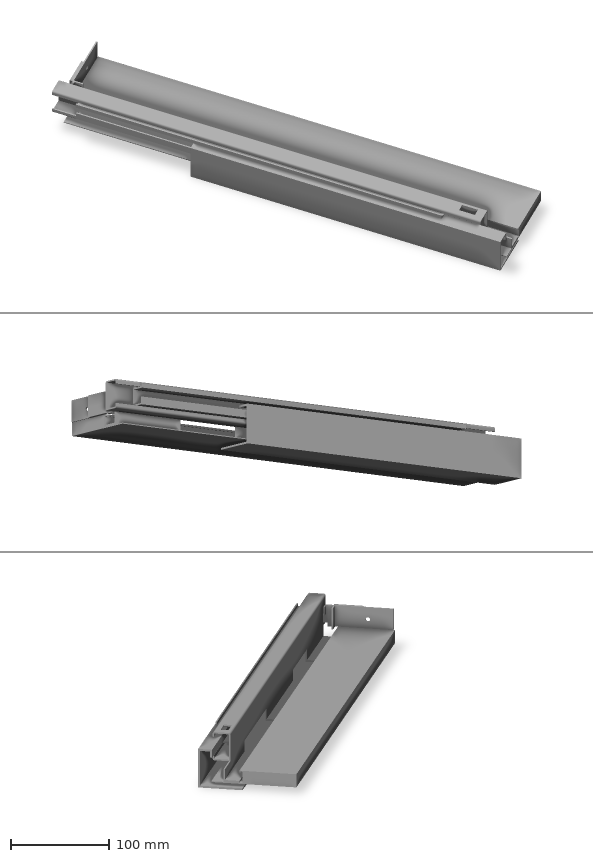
import cadquery as cq

LENGTH = 501.5
WIDTH = 102.5
HEIGHT = 51.5

SHEET = 1.5
RAIL_LENGTH = 474.5
RAIL_FRONT = 9.5
RAIL_BACK = 28.0
RAIL_BOTTOM = 21.5
RAIL_LIP = 5.0
RAIL_CORNER_RADIUS = 2.0
SLOT_X = 448.0
SLOT_Y = 16.0
SLOT_LENGTH = 17.5
SLOT_WIDTH = 8.0

MIDDLE_START = 28.5
MIDDLE_END = 434.0
MIDDLE_BACK = 20.5
MIDDLE_BOTTOM = 27.5
MIDDLE_TOP = 46.0
UPPER_LIP_FRONT = 4.0
UPPER_LIP_TOP = 49.0
LOWER_LIP_FRONT = 5.0
LOWER_LIP_TOP = 35.5
RIDGE_RADIUS = 1.75
RIDGE_Y = 17.5
RIDGE_INSET = 1.0

BRACKET_START = 157.5
BRACKET_END = 500.5
BRACKET_SHEET = 2.0
BRACKET_HEIGHT = 41.0
BRACKET_FOOT_WIDTH = 46.0
BRACKET_TOP_WIDTH = 14.5
BRACKET_HOOK_BOTTOM = 32.5

TRAY_START = 11.0
TRAY_BOTTOM = 7.0
PLATE_THICKNESS = 1.0
PLATE_FRONT = 14.0
FOOT_TOP = 10.0
FOOT_BACK = 43.0
WINDOWS = [(93.0, 162.0), (293.5, 403.5)]

BOARD_FRONT = 46.0
COVER_TOP = 21.0
COVER_THICKNESS = 1.0
COVER_LIP_BOTTOM = 19.0

END_PLATE_THICKNESS = 1.5
END_PLATE_RIGHT = 40.0
END_PLATE_LEFT = 101.0
END_PLATE_TOP = 43.5
SCREW_HOLE_Y = 74.0
SCREW_HOLE_Z = 30.5
SCREW_HOLE_DIAMETER = 4.5

CLIP_START = 7.0
CLIP_PLATE_LEFT = 68.5
CLIP_PLATE_RIGHT = 38.5
CLIP_UPPER_RIGHT = 29.5
CLIP_LOWER_RIGHT = 32.5
CLIP_WING_START = 10.0
CLIP_WING_END = 12.5
CLIP_TAB_START = 8.0
CLIP_TAB_BOTTOM = 25.0
CLIP_TAB_TOP = 34.5
LEFT_FLANGE_END = 21.5
RIGHT_FLANGE_END = 19.0
RIGHT_FLANGE_THICKNESS = 1.5

PLATE_TOP = TRAY_BOTTOM + PLATE_THICKNESS
COVER_BOTTOM = COVER_TOP - COVER_THICKNESS
END_PLATE_START = TRAY_START - END_PLATE_THICKNESS


def box(x0, x1, y0, y1, z0, z1):
    """Block between two opposite corners."""
    return cq.Workplane("XY").box(x1 - x0, y1 - y0, z1 - z0, centered=False).translate((x0, y0, z0))


def extrude_along_x(outline, x0, x1):
    """Extrude a (Y, Z) outline from x0 to x1."""
    return cq.Workplane("YZ", origin=(x0, 0, 0)).polyline(outline).close().extrude(x1 - x0)


def make_outer_rail():
    inner_front = RAIL_FRONT + SHEET
    lower_lip_end = RAIL_BOTTOM + RAIL_LIP
    upper_lip_end = HEIGHT - RAIL_LIP
    rail = box(0, RAIL_LENGTH, RAIL_FRONT, RAIL_BACK, RAIL_BOTTOM, HEIGHT)
    rail = rail.edges("|X and (<Y or >Z)").fillet(RAIL_CORNER_RADIUS)
    cavity = box(0, RAIL_LENGTH, inner_front, RAIL_BACK - SHEET, RAIL_BOTTOM + SHEET, HEIGHT - SHEET)
    mouth = box(0, RAIL_LENGTH, RAIL_FRONT, inner_front, lower_lip_end, upper_lip_end)
    slot = box(SLOT_X, SLOT_X + SLOT_LENGTH, SLOT_Y, SLOT_Y + SLOT_WIDTH, HEIGHT - SHEET, HEIGHT)
    return rail.cut(cavity).cut(mouth).cut(slot)


def make_middle_rail():
    outline = [
        (MIDDLE_BACK, MIDDLE_BOTTOM),
        (LOWER_LIP_FRONT, MIDDLE_BOTTOM),
        (LOWER_LIP_FRONT, LOWER_LIP_TOP),
        (LOWER_LIP_FRONT + SHEET, LOWER_LIP_TOP),
        (LOWER_LIP_FRONT + SHEET, MIDDLE_BOTTOM + SHEET),
        (MIDDLE_BACK - SHEET, MIDDLE_BOTTOM + SHEET),
        (MIDDLE_BACK - SHEET, MIDDLE_TOP - SHEET),
        (UPPER_LIP_FRONT, MIDDLE_TOP - SHEET),
        (UPPER_LIP_FRONT, UPPER_LIP_TOP),
        (UPPER_LIP_FRONT + SHEET, UPPER_LIP_TOP),
        (UPPER_LIP_FRONT + SHEET, MIDDLE_TOP),
        (MIDDLE_BACK, MIDDLE_TOP),
    ]
    rail = extrude_along_x(outline, MIDDLE_START, MIDDLE_END)
    for ridge_z in (MIDDLE_BOTTOM - RIDGE_INSET, MIDDLE_TOP + RIDGE_INSET):
        ridge = (
            cq.Workplane("YZ", origin=(MIDDLE_START, RIDGE_Y, ridge_z))
            .circle(RIDGE_RADIUS)
            .extrude(MIDDLE_END - MIDDLE_START)
        )
        rail = rail.union(ridge)
    return rail


def make_bracket():
    outline = [
        (0, 0),
        (BRACKET_FOOT_WIDTH, 0),
        (BRACKET_FOOT_WIDTH, BRACKET_SHEET),
        (BRACKET_SHEET, BRACKET_SHEET),
        (BRACKET_SHEET, BRACKET_HEIGHT - BRACKET_SHEET),
        (BRACKET_TOP_WIDTH - BRACKET_SHEET, BRACKET_HEIGHT - BRACKET_SHEET),
        (BRACKET_TOP_WIDTH - BRACKET_SHEET, BRACKET_HOOK_BOTTOM),
        (BRACKET_TOP_WIDTH, BRACKET_HOOK_BOTTOM),
        (BRACKET_TOP_WIDTH, BRACKET_HEIGHT),
        (0, BRACKET_HEIGHT),
    ]
    return extrude_along_x(outline, BRACKET_START, BRACKET_END)


def make_tray():
    web_front = RAIL_BACK - SHEET
    outline = [
        (PLATE_FRONT, TRAY_BOTTOM),
        (WIDTH, TRAY_BOTTOM),
        (WIDTH, PLATE_TOP),
        (FOOT_BACK, PLATE_TOP),
        (FOOT_BACK, FOOT_TOP),
        (RAIL_BACK, FOOT_TOP),
        (RAIL_BACK, RAIL_BOTTOM),
        (web_front, RAIL_BOTTOM),
        (web_front, PLATE_TOP),
        (PLATE_FRONT, PLATE_TOP),
    ]
    tray = extrude_along_x(outline, TRAY_START, LENGTH)
    for window_start, window_end in WINDOWS:
        tray = tray.cut(box(window_start, window_end, web_front, FOOT_BACK, PLATE_TOP, RAIL_BOTTOM))
    return tray


def make_board():
    return box(TRAY_START, LENGTH, BOARD_FRONT, WIDTH, PLATE_TOP, COVER_BOTTOM)


def make_cover():
    outline = [
        (FOOT_BACK, COVER_LIP_BOTTOM),
        (FOOT_BACK + COVER_THICKNESS, COVER_LIP_BOTTOM),
        (FOOT_BACK + COVER_THICKNESS, COVER_BOTTOM),
        (WIDTH, COVER_BOTTOM),
        (WIDTH, COVER_TOP),
        (FOOT_BACK, COVER_TOP),
    ]
    return extrude_along_x(outline, TRAY_START, LENGTH)


def make_end_plate():
    plate = box(END_PLATE_START, TRAY_START, END_PLATE_RIGHT, END_PLATE_LEFT, COVER_TOP, END_PLATE_TOP)
    screw_hole = (
        cq.Workplane("YZ", origin=(END_PLATE_START, SCREW_HOLE_Y, SCREW_HOLE_Z))
        .circle(SCREW_HOLE_DIAMETER / 2)
        .extrude(END_PLATE_THICKNESS)
    )
    return plate.cut(screw_hole)


def make_clip():
    front_plate = box(
        CLIP_START, END_PLATE_START, CLIP_PLATE_RIGHT, CLIP_PLATE_LEFT, COVER_TOP, END_PLATE_TOP
    )
    left_flange = box(
        CLIP_START, LEFT_FLANGE_END, CLIP_PLATE_RIGHT, END_PLATE_RIGHT, COVER_TOP, END_PLATE_TOP
    )
    upper_wing = box(
        CLIP_WING_START, CLIP_WING_END, CLIP_UPPER_RIGHT, CLIP_PLATE_RIGHT, CLIP_TAB_TOP, END_PLATE_TOP
    )
    right_flange = box(
        CLIP_WING_START,
        RIGHT_FLANGE_END,
        CLIP_UPPER_RIGHT,
        CLIP_UPPER_RIGHT + RIGHT_FLANGE_THICKNESS,
        CLIP_TAB_TOP,
        END_PLATE_TOP,
    )
    lower_wing = box(
        CLIP_WING_START, CLIP_WING_END, CLIP_LOWER_RIGHT, CLIP_PLATE_RIGHT, COVER_TOP, CLIP_TAB_BOTTOM
    )
    middle_tab = box(
        CLIP_TAB_START, CLIP_WING_END, RAIL_BACK, CLIP_PLATE_RIGHT, CLIP_TAB_BOTTOM, CLIP_TAB_TOP
    )
    clip = front_plate
    for piece in (left_flange, middle_tab, upper_wing, right_flange, lower_wing):
        clip = clip.union(piece)
    return clip


outer_rail = make_outer_rail()
middle_rail = make_middle_rail()
bracket = make_bracket()
tray = make_tray()
board = make_board()
cover = make_cover()
end_plate = make_end_plate()
clip = make_clip()

result = cq.Compound.makeCompound(
    [
        outer_rail.val(),
        middle_rail.val(),
        bracket.val(),
        tray.val(),
        board.val(),
        cover.val(),
        end_plate.val(),
        clip.val(),
    ]
)